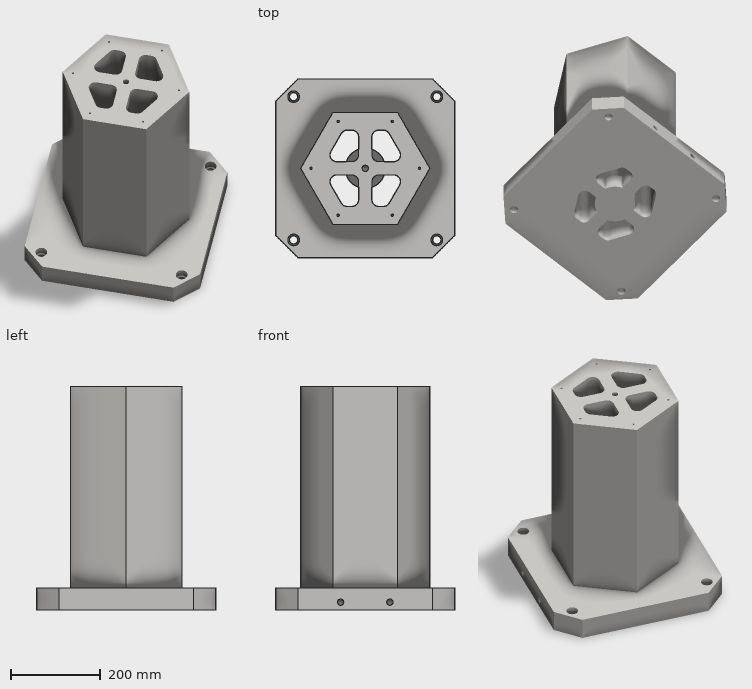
import cadquery as cq
import math

base_side = 400.0
base_height = 50.0
base_chamfer = 50.0

total_height = 500.0
column_flats = 250.0

column_wall = 40.0
rib_width = 30.0
opening_fillet = 15.0

hub_diameter = 90.0

mount_spacing = 320.0
mount_diameter = 18.0
counterbore_diameter = 26.0
counterbore_depth = 18.0

ring_hole_count = 6
ring_diameter = 242.0
ring_hole_diameter = 5.0
ring_hole_depth = 15.0

blind_diameter = 14.0
blind_depth = 30.0
front_hole_spacing = 110.0
front_hole_height = 18.0

drill_point_angle = 118.0


def hexagonal_prism(across_flats, height):
    across_corners = across_flats / math.cos(math.pi / 6)
    return cq.Workplane("XY").polygon(6, across_corners).extrude(height)


def upright_box(size_x, size_y, height):
    return cq.Workplane("XY").box(size_x, size_y, height, centered=(True, True, False))


def drilled_hole(diameter, depth):
    """Blind hole from the origin down -Z, with a conical tip below its full-width depth."""
    radius = diameter / 2
    tip = radius / math.tan(math.radians(drill_point_angle / 2))
    return (
        cq.Workplane("XZ")
        .polyline([(0, 0), (radius, 0), (radius, -depth), (0, -depth - tip)])
        .close()
        .revolve(360, (0, 0), (0, 1))
    )


def openings():
    """Inner hexagon split into four by a cross of ribs, less the hub at the bottom."""
    inner_flats = column_flats - 2 * column_wall
    core = hexagonal_prism(inner_flats, total_height)
    rib_along_x = upright_box(column_flats, rib_width, total_height)
    rib_along_y = upright_box(rib_width, column_flats, total_height)
    hub = cq.Workplane("XY").circle(hub_diameter / 2).extrude(base_height)
    return core.cut(rib_along_x).cut(rib_along_y).edges("|Z").fillet(opening_fillet).cut(hub)


def mounting_holes():
    centres = cq.Workplane("XY", origin=(0, 0, base_height)).rarray(mount_spacing, mount_spacing, 2, 2)
    counterbores = centres.circle(counterbore_diameter / 2).extrude(-counterbore_depth)
    through_holes = centres.circle(mount_diameter / 2).extrude(-base_height)
    return counterbores.union(through_holes)


base = upright_box(base_side, base_side, base_height).edges("|Z").chamfer(base_chamfer)
column = hexagonal_prism(column_flats, total_height)
result = base.union(column).cut(openings()).cut(mounting_holes())

ring_hole = drilled_hole(ring_hole_diameter, ring_hole_depth)
for index in range(ring_hole_count):
    angle = 2 * math.pi * index / ring_hole_count
    x = ring_diameter / 2 * math.cos(angle)
    y = ring_diameter / 2 * math.sin(angle)
    result = result.cut(ring_hole.translate((x, y, total_height)))

blind_hole = drilled_hole(blind_diameter, blind_depth)
result = result.cut(blind_hole.translate((0, 0, total_height)))

front_hole = blind_hole.rotate((0, 0, 0), (1, 0, 0), 90)
for side in (-1, 1):
    x = side * front_hole_spacing / 2
    result = result.cut(front_hole.translate((x, -base_side / 2, front_hole_height)))